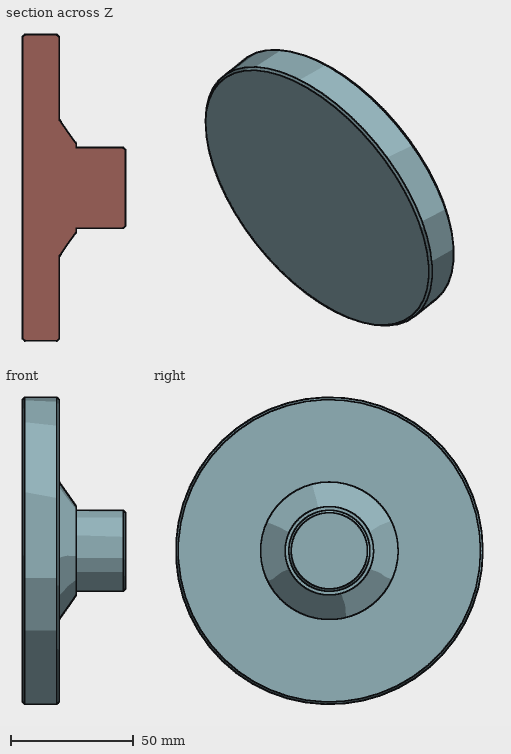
import cadquery as cq

disc_diameter = 125.0
disc_thickness = 15.0
cone_base_diameter = 56.0
cone_top_diameter = 36.0
cone_length = 7.0
hub_diameter = 33.0
total_length = 42.0
edge_chamfer = 1.0

cone_end = disc_thickness + cone_length
hub_length = total_length - cone_end


def round_bar(start, diameter, length):
    """Cylinder along +X beginning at the given station."""
    return cq.Workplane("YZ", origin=(start, 0, 0)).circle(diameter / 2).extrude(length)


disc = round_bar(0, disc_diameter, disc_thickness).edges().chamfer(edge_chamfer)

cone_profile = [
    (disc_thickness, 0),
    (disc_thickness, cone_base_diameter / 2),
    (cone_end, cone_top_diameter / 2),
    (cone_end, 0),
]
shoulder = cq.Workplane("XZ").polyline(cone_profile).close().revolve(360, (0, 0, 0), (1, 0, 0))

hub = round_bar(cone_end, hub_diameter, hub_length).faces(">X").edges().chamfer(edge_chamfer)

result = disc.union(shoulder).union(hub)